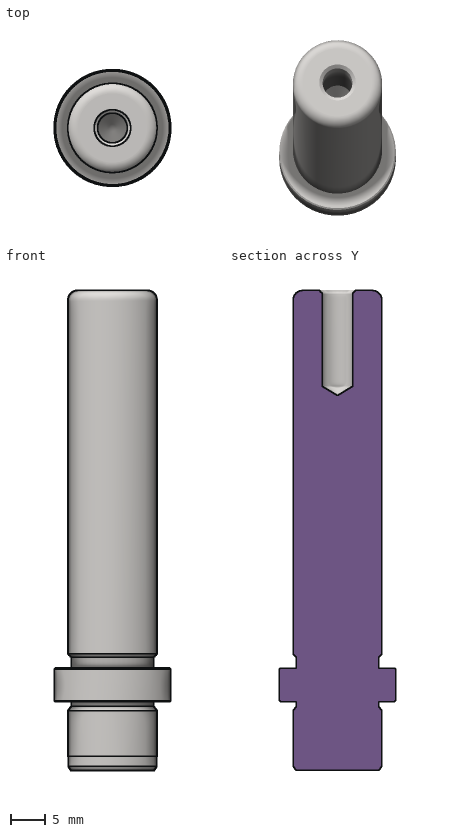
import cadquery as cq
import math

length = 70.0
pin_radius = 6.5
tip_fillet = 1.5

collar_diameter = 17.0
collar_radius = collar_diameter / 2
collar_bottom = 10.0
collar_height = 5.0
collar_chamfer = 0.2
collar_top = collar_bottom + collar_height

neck_radius = 6.0
neck_step = pin_radius - neck_radius
lower_neck_length = 0.6
lower_taper_length = 0.6
upper_neck_length = 1.55
upper_taper_length = neck_step
lower_neck_start = collar_bottom - lower_neck_length
upper_neck_end = collar_top + upper_neck_length

lead_length = 2.1
lead_clearance = 0.035
lead_radius = pin_radius - lead_clearance
foot_chamfer_height = 0.6
foot_chamfer_width = 0.4

hole_radius = 2.2
hole_depth = 14.0
countersink_radius = 2.65
drill_point_angle = 118.0
countersink_depth = countersink_radius - hole_radius
drill_point_depth = hole_radius / math.tan(math.radians(drill_point_angle / 2))


def revolve_profile(profile):
    """Turn a closed XZ half-profile around the Z axis."""
    return profile.close().revolve(360, (0, 0, 0), (0, 1, 0))


def make_pin():
    """Turned body from foot to rounded tip, with its collar and necks."""
    tip_shoulder = length - tip_fillet
    tip_flat_radius = pin_radius - tip_fillet
    arc_offset = tip_fillet * math.sin(math.radians(45))
    profile = (
        cq.Workplane("XZ")
        .lineTo(lead_radius - foot_chamfer_width, 0)
        .lineTo(lead_radius, foot_chamfer_height)
        .lineTo(lead_radius, lead_length)
        .lineTo(pin_radius, lead_length)
        .lineTo(pin_radius, lower_neck_start - lower_taper_length)
        .lineTo(neck_radius, lower_neck_start)
        .lineTo(neck_radius, collar_bottom)
        .lineTo(collar_radius - collar_chamfer, collar_bottom)
        .lineTo(collar_radius, collar_bottom + collar_chamfer)
        .lineTo(collar_radius, collar_top - collar_chamfer)
        .lineTo(collar_radius - collar_chamfer, collar_top)
        .lineTo(neck_radius, collar_top)
        .lineTo(neck_radius, upper_neck_end)
        .lineTo(pin_radius, upper_neck_end + upper_taper_length)
        .lineTo(pin_radius, tip_shoulder)
        .threePointArc(
            (tip_flat_radius + arc_offset, tip_shoulder + arc_offset),
            (tip_flat_radius, length),
        )
        .lineTo(0, length)
    )
    return revolve_profile(profile)


def make_tip_hole():
    """Countersunk blind hole with a conical drill point."""
    hole_floor = length - hole_depth
    profile = (
        cq.Workplane("XZ")
        .moveTo(0, length)
        .lineTo(countersink_radius, length)
        .lineTo(hole_radius, length - countersink_depth)
        .lineTo(hole_radius, hole_floor)
        .lineTo(0, hole_floor - drill_point_depth)
    )
    return revolve_profile(profile)


result = make_pin().cut(make_tip_hole())